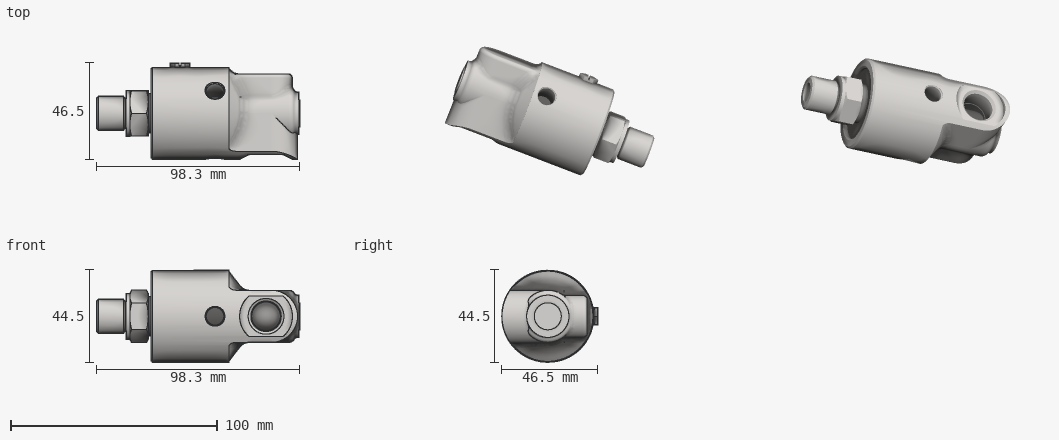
import cadquery as cq
import math


thread_dia = 16.7
thread_tip_dia = 14.7
thread_chamfer_len = 0.9
thread_runout_start = 12.9
thread_runout_end = 13.9
relief_dia = 14.2
washer_start = 14.3
washer_dia = 22.2
hex_start = 16.0
hex_end = 25.0
hex_flats = 22.0
hex_corner_chamfer = 0.9
shaft_neck_dia = 19.2
bore_dia = 9.5
bore_depth = 39.3

body_dia = 44.5
body_radius = body_dia / 2
body_start = 26.1
body_end = 63.9
body_chamfer = 0.9
recess_dia = 35.1
recess_chamfer = 0.8
recess_depth = 2.0

shoulder_radius = 21.8
shoulder_slope = 1.3
shoulder_overrun = 9.8
shoulder_fillet = 5.3

hub_radius = 12.6
hub_curve_start = 93.0
hub_inflection = 95.45
hub_curve_end = 97.2
hub_end = 97.7
hub_end_radius = 10.2
plug_dia = 13.1
overall_length = 98.3
boss_overrun = 8.8
boss_reach = 27.5
boss_round_x = 84.5
rear_boss_half = 10.0
rear_boss_reach = 19.1
rear_boss_fillet = 2.0
hub_fillet = 3.4

port_x = 81.9
port_dia = 13.9
port_mouth_dia = 17.3
port_thread_dia = 14.7
port_chamfer_len = 1.3
port_thread_depth = 10.3
spotface_dia = 25.6
spotface_y = 20.0
port_shaft_dia = 16.7

weep_x = 57.2
weep_count = 3
weep_dia = 8.6
weep_mouth_dia = 9.5
weep_mouth_depth = 0.5
weep_shaft_dia = 19.2

screw_x = 40.3
screw_flats = 8.3
screw_neck_dia = 6.3
overall_width = 46.5
screw_head_top = overall_width - body_radius
screw_head_height = 1.9
screw_head_base = screw_head_top - screw_head_height
screw_slot_width = 0.8
screw_slot_depth = 1.2


def turned(points):
    """Solid of revolution about X from (x, radius) points, closed along the axis."""
    outline = [(points[0][0], 0)] + points + [(points[-1][0], 0)]
    return cq.Workplane("XY").polyline(outline).close().revolve(360, (0, 0, 0), (1, 0, 0))


def cylinder_x(diameter, start, end):
    """Cylinder about the X axis."""
    return turned([(start, diameter / 2), (end, diameter / 2)])


def side_axis(x, y):
    """Workplane at the given x and y, at mid-height, facing -Y."""
    return cq.Workplane("XZ", origin=(x, y, 0))


def threaded_nose():
    """Chamfered nose, thread relief, washer and the neck that enters the body."""
    return turned([
        (0, thread_tip_dia / 2),
        (thread_chamfer_len, thread_dia / 2),
        (thread_runout_start, thread_dia / 2),
        (thread_runout_end, relief_dia / 2),
        (washer_start, relief_dia / 2),
        (washer_start, washer_dia / 2),
        (hex_start, washer_dia / 2),
        (hex_start, shaft_neck_dia / 2),
        (body_start + recess_depth, shaft_neck_dia / 2),
    ])


def hexagon():
    """Wrench hexagon with flats facing +Y and -Y and bevelled corners."""
    corner_dia = hex_flats / math.cos(math.pi / 6)
    prism = (
        cq.Workplane("YZ", origin=(hex_start, 0, 0))
        .transformed(rotate=(0, 0, 90))
        .polygon(6, corner_dia)
        .extrude(hex_end - hex_start)
    )
    corner_envelope = turned([
        (hex_start, hex_flats / 2),
        (hex_start + hex_corner_chamfer, corner_dia / 2),
        (hex_end - hex_corner_chamfer, corner_dia / 2),
        (hex_end, hex_flats / 2),
    ])
    return prism.intersect(corner_envelope)


def front_recess():
    """Chamfered recess in the front face, around the neck."""
    return turned([
        (body_start, recess_dia / 2 + recess_chamfer),
        (body_start + recess_chamfer, recess_dia / 2),
        (body_start + recess_depth, recess_dia / 2),
    ])


def port_boss(half_width, y_start, y_end):
    """Slab along X, rounded about Y at its free end."""
    boss_root = body_end - boss_overrun - boss_round_x
    return (
        side_axis(boss_round_x, y_end)
        .moveTo(boss_root, half_width)
        .lineTo(0, half_width)
        .threePointArc((half_width, 0), (0, -half_width))
        .lineTo(boss_root, -half_width)
        .close()
        .extrude(y_end - y_start)
    )


def hub_boss_edges(rear):
    """Edges where the hub runs into the narrower +Y boss."""
    hub_side = math.sqrt(hub_radius**2 - rear_boss_half**2)
    margin = 0.01
    boss_end = boss_round_x + rear_boss_half
    zone = cq.selectors.BoxSelector(
        (body_end, hub_side - margin, -hub_radius), (boss_end, hub_radius, hub_radius)
    )
    return [e for e in rear.edges(zone).vals() if e.BoundingBox().ymax < hub_radius]


def shoulder_edges(rear):
    """Edges where the shoulder cone runs into the hub and the bosses."""
    cone = rear.faces("%CONE").faces("<X")
    return [e for e in cone.edges().vals() if e.geomType() != "LINE" and e.BoundingBox().xmax > body_end]


def rear_hub():
    """Round hub whose end narrows through an S-shaped pair of tangent arcs."""
    narrowing = hub_radius - hub_end_radius
    inflection_share = (hub_inflection - hub_curve_start) / (hub_curve_end - hub_curve_start)
    return (
        cq.Workplane("XY")
        .moveTo(body_end, 0)
        .lineTo(body_end, hub_radius)
        .lineTo(hub_curve_start, hub_radius)
        .tangentArcPoint((hub_inflection, hub_radius - narrowing * inflection_share), relative=False)
        .tangentArcPoint((hub_curve_end, hub_end_radius), relative=False)
        .lineTo(hub_end, hub_end_radius)
        .lineTo(hub_end, 0)
        .close()
        .revolve(360, (0, 0, 0), (1, 0, 0))
    )


def rear_end():
    """Shoulder, hub and bosses with their blends, not yet trimmed to the body diameter."""
    front_boss = port_boss(hub_radius, -boss_reach, 0)
    rear_boss = port_boss(rear_boss_half, 0, rear_boss_reach)
    rear_boss = rear_boss.faces(">Y").edges("not <X").fillet(rear_boss_fillet)
    shoulder_len = (shoulder_radius - rear_boss_half) / shoulder_slope
    shoulder = turned([
        (body_end - shoulder_overrun, shoulder_radius + shoulder_slope * shoulder_overrun),
        (body_end + shoulder_len, rear_boss_half),
    ])
    rear = rear_hub().union(front_boss).union(rear_boss).union(shoulder)
    rear = rear.newObject(hub_boss_edges(rear)).fillet(hub_fillet)
    return rear.newObject(shoulder_edges(rear)).fillet(shoulder_fillet)


def housing():
    """Body and rear end trimmed together to one outside cylinder."""
    blank = cylinder_x(2 * body_dia, body_start, body_end).union(rear_end())
    envelope = cylinder_x(body_dia, body_start, overall_length).faces("<X").chamfer(body_chamfer)
    plug = cylinder_x(plug_dia, hub_inflection, overall_length)
    return blank.intersect(envelope).union(plug).cut(front_recess())


def spotface():
    """Flat around the port, sunk into the curved outside of the -Y boss."""
    return side_axis(port_x, -spotface_y).circle(spotface_dia / 2).extrude(body_radius)


def turned_about_y(points):
    """Solid of revolution about Y from (radius, y) points, closed along the axis."""
    outline = [(0, points[0][1])] + points + [(0, points[-1][1])]
    return cq.Workplane("XY").polyline(outline).close().revolve(360, (0, 0, 0), (0, 1, 0))


def side_port():
    """Threaded port running from the spotface down to the inner shaft."""
    hole = turned_about_y([
        (port_mouth_dia / 2, -spotface_y),
        (port_thread_dia / 2, -spotface_y + port_chamfer_len),
        (port_thread_dia / 2, -spotface_y + port_thread_depth),
        (port_dia / 2, -spotface_y + port_thread_depth),
        (port_dia / 2, 0),
    ])
    shaft = cylinder_x(port_shaft_dia, -port_mouth_dia, port_mouth_dia)
    return hole.cut(shaft).translate((port_x, 0, 0))


def weep_hole(index):
    """One of the radial holes spaced evenly round the body, the first facing -Y."""
    chamfer_len = (weep_mouth_dia - weep_dia) / 2
    hole = turned_about_y([
        (weep_mouth_dia / 2, -body_radius),
        (weep_mouth_dia / 2, -body_radius + weep_mouth_depth),
        (weep_dia / 2, -body_radius + weep_mouth_depth + chamfer_len),
        (weep_dia / 2, 0),
    ])
    shaft = cylinder_x(weep_shaft_dia, -weep_mouth_dia, weep_mouth_dia)
    hole = hole.cut(shaft).translate((weep_x, 0, 0))
    return hole.rotate((0, 0, 0), (1, 0, 0), index * 360 / weep_count)


def locking_screw():
    """Slotted hexagon head on a short neck rooted in the body."""
    corner_dia = screw_flats / math.cos(math.pi / 6)
    head = (
        side_axis(screw_x, screw_head_top)
        .polygon(6, corner_dia)
        .extrude(screw_head_height)
    )
    slot = (
        side_axis(screw_x, screw_head_top)
        .rect(screw_slot_width, corner_dia)
        .extrude(screw_slot_depth)
    )
    neck_root = body_radius - screw_neck_dia / 2
    neck = (
        side_axis(screw_x, screw_head_base)
        .circle(screw_neck_dia / 2)
        .extrude(screw_head_base - neck_root)
    )
    return head.cut(slot).union(neck)


result = housing().union(threaded_nose()).union(hexagon()).union(locking_screw())
result = result.cut(cylinder_x(bore_dia, 0, bore_depth))
result = result.cut(spotface()).cut(side_port())
for index in range(weep_count):
    result = result.cut(weep_hole(index))